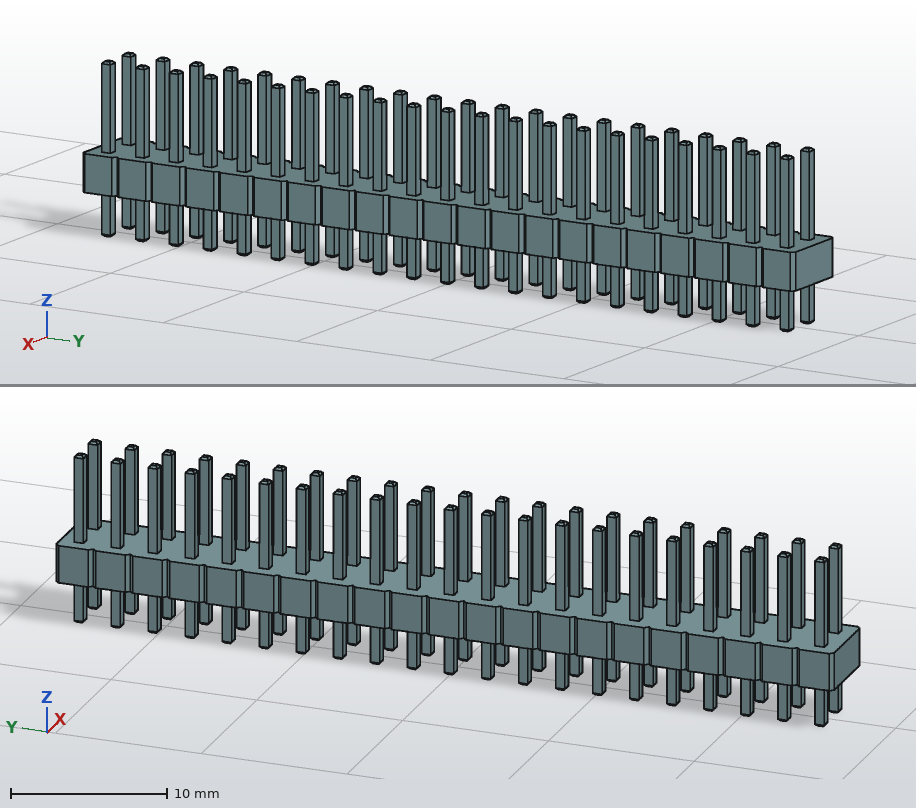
import cadquery as cq

ROWS = 21
COLUMNS = 2
LENGTH = 53.35
PITCH = LENGTH / ROWS

BODY_HEIGHT = 2.55
BODY_WIDTH = COLUMNS * PITCH
BODY_CHAMFER = 0.25

PIN_SIDE = 0.65
PIN_ABOVE = 6.0
PIN_BELOW = 3.0
PIN_TIP_CHAMFER = 0.15


def body_segment():
    """One row of the insulator, with its four vertical edges chamfered."""
    segment = cq.Workplane("XY").box(BODY_WIDTH, PITCH, BODY_HEIGHT, centered=(True, True, False))
    return segment.edges("|Z").chamfer(BODY_CHAMFER)


def pin():
    """A square pin with bevelled tips, passing through the insulator."""
    pin_length = PIN_BELOW + BODY_HEIGHT + PIN_ABOVE
    bar = cq.Workplane("XY").box(PIN_SIDE, PIN_SIDE, pin_length, centered=(True, True, False))
    return bar.faces("<Z or >Z").chamfer(PIN_TIP_CHAMFER).translate((0, 0, -PIN_BELOW))


def header_row():
    """One insulator segment with a pin in each column."""
    row = body_segment()
    for column in range(COLUMNS):
        x = (column - (COLUMNS - 1) / 2) * PITCH
        row = row.union(pin().translate((x, 0, 0)))
    return row


single_row = header_row()
result = single_row.translate((0, -(ROWS - 1) / 2 * PITCH, 0))
for index in range(1, ROWS):
    y = (index - (ROWS - 1) / 2) * PITCH
    result = result.union(single_row.translate((0, y, 0)))
result = result.clean()